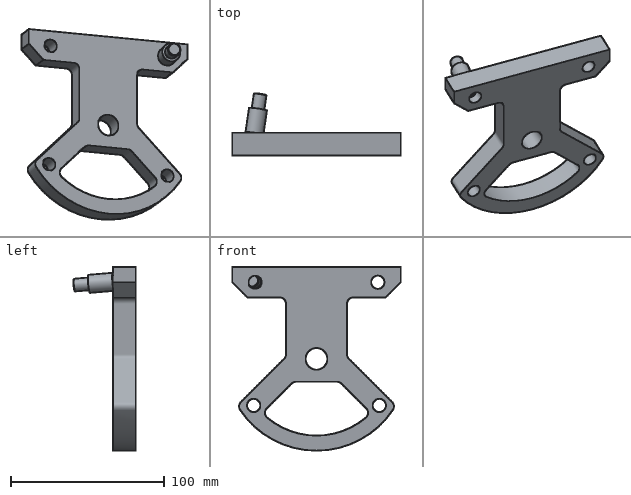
import cadquery as cq
import math

thickness = 15.0
rim_outer_radius = 60.0
rim_width = 10.0
rim_inner_radius = rim_outer_radius - rim_width
top_z = 60.0
bar_half_length = 55.0
bar_height = 20.0
bar_bottom_z = top_z - bar_height
bar_chamfer = 10.0
stem_half_width = 20.0
arm_width = 15.0
arm_rise = arm_width * math.sqrt(2)
window_top_z = -15.0
corner_radius = 4.0

pivot_diameter = 14.0
mount_bore_diameter = 8.5
top_hole_x = 40.0
top_hole_z = top_z - bar_height / 2
arm_hole_x = 41.0
arm_hole_z = arm_rise / 2 - arm_hole_x
mount_points = [
    (-top_hole_x, top_hole_z),
    (top_hole_x, top_hole_z),
    (-arm_hole_x, arm_hole_z),
    (arm_hole_x, arm_hole_z),
]

collar_diameter = 12.0
collar_length = 16.0
stud_diameter = 8.5
stud_length = 10.0
stud_chamfer = 0.5
lean_x = 0.147
lean_z = -0.085
shoulder_offset_x = -0.5
shoulder_offset_z = 0.3
shoulder_depth = 0.47
shoulder_center = cq.Vector(
    -top_hole_x + shoulder_offset_x, thickness - shoulder_depth, top_hole_z + shoulder_offset_z
)
pin_axis = cq.Vector(lean_x, 1, lean_z)


def extrude_back(outline):
    """Extrude an XZ outline from the front face to the back face."""
    return outline.extrude(-thickness)


def make_blank():
    """Plate blank, with the stem corners and the arm tips rounded."""
    along_edge = math.sqrt(rim_outer_radius**2 - arm_width**2)
    tip_x = (along_edge + arm_width) / math.sqrt(2)
    tip_z = arm_rise - tip_x
    elbow_z = arm_rise - stem_half_width
    chamfer_top_z = bar_bottom_z + bar_chamfer
    chamfer_end_x = bar_half_length - bar_chamfer
    outline = (
        cq.Workplane("XZ")
        .moveTo(-bar_half_length, top_z)
        .lineTo(bar_half_length, top_z)
        .lineTo(bar_half_length, chamfer_top_z)
        .lineTo(chamfer_end_x, bar_bottom_z)
        .lineTo(stem_half_width, bar_bottom_z)
        .lineTo(stem_half_width, elbow_z)
        .lineTo(tip_x, tip_z)
        .threePointArc((0, -rim_outer_radius), (-tip_x, tip_z))
        .lineTo(-stem_half_width, elbow_z)
        .lineTo(-stem_half_width, bar_bottom_z)
        .lineTo(-chamfer_end_x, bar_bottom_z)
        .lineTo(-bar_half_length, chamfer_top_z)
        .close()
    )
    margin = 1.0
    stem_corners = cq.selectors.BoxSelector(
        (-stem_half_width - margin, -margin, 0),
        (stem_half_width + margin, thickness + margin, bar_bottom_z + margin),
    )
    tip_corners = cq.selectors.BoxSelector(
        (-tip_x - margin, -margin, -rim_outer_radius),
        (tip_x + margin, thickness + margin, 0),
    )
    return extrude_back(outline).edges("|Y").edges(stem_corners + tip_corners).fillet(corner_radius)


def make_window():
    """Opening between the arms and the rim; its slanted sides point at the pivot."""
    window_top_x = -window_top_z
    corner = rim_inner_radius / math.sqrt(2)
    outline = (
        cq.Workplane("XZ")
        .moveTo(-window_top_x, window_top_z)
        .lineTo(window_top_x, window_top_z)
        .lineTo(corner, -corner)
        .threePointArc((0, -rim_inner_radius), (-corner, -corner))
        .close()
    )
    return extrude_back(outline).edges("|Y").fillet(corner_radius)


def make_bore(x, z, diameter):
    """Cylinder through the plate, parallel to Y."""
    return extrude_back(cq.Workplane("XZ").center(x, z).circle(diameter / 2))


def make_pin():
    """Collar with a chamfered stud on each end, along the leaning axis."""
    base = cq.Plane(origin=shoulder_center, xDir=(1, -lean_x, 0), normal=pin_axis)
    collar = cq.Workplane(base).circle(collar_diameter / 2).extrude(collar_length)
    studs = (
        cq.Workplane(base)
        .workplane(offset=-stud_length)
        .circle(stud_diameter / 2)
        .extrude(collar_length + 2 * stud_length)
        .faces("%PLANE")
        .chamfer(stud_chamfer)
    )
    return collar.union(studs)


pin = make_pin()

plate = make_blank().cut(make_window())
plate = plate.cut(make_bore(0, 0, pivot_diameter))
for hole_x, hole_z in mount_points:
    plate = plate.cut(make_bore(hole_x, hole_z, mount_bore_diameter))
plate = plate.cut(pin)

result = cq.Compound.makeCompound([plate.val(), pin.val()])